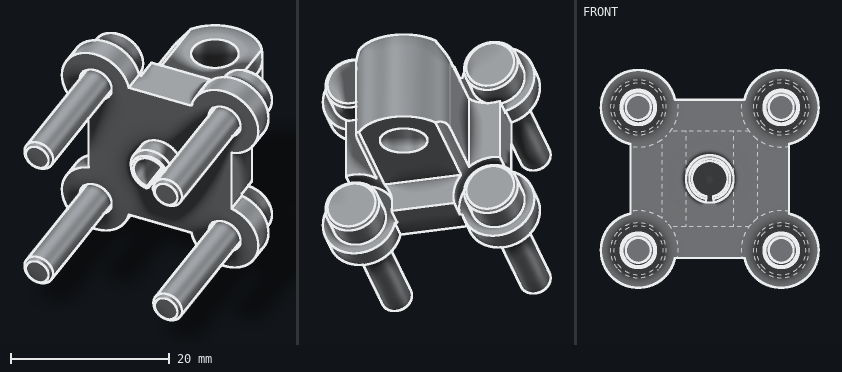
import cadquery as cq
import math


block_side = 20.0
block_height = 6.0
flange_thickness = 3.0
ear_diameter = 9.48
screw_pitch = 18.0
screw_clearance_diameter = 4.5
head_pocket_radius = 5.05
lug_width = 12.0
eye_center_y = 16.0
eye_diameter = 6.0

shank_diameter = 4.0
shank_reach = 17.0
tip_chamfer = 0.43
head_diameter = 7.0
head_height = 4.0
head_chamfer = 0.4

pin_diameter = 6.0
pin_bore_diameter = 4.5
pin_protrusion = 3.0
pin_depth = block_height
pin_chamfer_length = 0.7
pin_chamfer_width = 0.43
pin_slit_angle = 20.0

lug_radius = lug_width / 2
lug_top_y = eye_center_y + lug_radius
screw_offset = screw_pitch / 2
screw_places = [(x, z) for x in (-screw_offset, screw_offset) for z in (-screw_offset, screw_offset)]


def cylinder_y(diameter, y_start, y_end, x=0.0, z=0.0):
    """Cylinder along Y between two Y positions."""
    start = cq.Vector(x, y_start, z)
    solid = cq.Solid.makeCylinder(diameter / 2, y_end - y_start, start, cq.Vector(0, 1, 0))
    return cq.Workplane(obj=solid)


def make_lug():
    """Square bar with a rounded end and a cross hole along Z."""
    return (
        cq.Workplane("XY")
        .moveTo(-lug_radius, 0)
        .lineTo(lug_radius, 0)
        .lineTo(lug_radius, eye_center_y)
        .threePointArc((0, lug_top_y), (-lug_radius, eye_center_y))
        .close()
        .extrude(lug_width / 2, both=True)
        .cut(cq.Workplane("XY").center(0, eye_center_y).circle(eye_diameter / 2).extrude(lug_width, both=True))
    )


def make_housing():
    """Block and lug with round screw ears, head pockets and a blind hole for the pin."""
    block = cq.Workplane("XY").box(block_side, block_height, block_side).translate((0, block_height / 2, 0))
    housing = block.union(make_lug())

    for x, z in screw_places:
        housing = housing.cut(cylinder_y(2 * head_pocket_radius, flange_thickness, lug_top_y, x, z))

    for x, z in screw_places:
        housing = housing.union(cylinder_y(ear_diameter, 0, flange_thickness, x, z))
    for x, z in screw_places:
        housing = housing.cut(cylinder_y(screw_clearance_diameter, 0, flange_thickness, x, z))

    return housing.cut(cylinder_y(pin_diameter, 0, pin_depth))


def make_screw(x, z):
    """Cap screw seated on the flange."""
    shank = cylinder_y(shank_diameter, -shank_reach, flange_thickness, x, z).faces("<Y").chamfer(tip_chamfer)
    head_top_y = flange_thickness + head_height
    head = cylinder_y(head_diameter, flange_thickness, head_top_y, x, z).faces(">Y").chamfer(head_chamfer)
    return shank.union(head)


def make_spring_pin():
    """Slit tube with a chamfered outer end."""
    outer_radius = pin_diameter / 2
    bore_radius = pin_bore_diameter / 2
    wall_profile = (
        cq.Workplane("XY")
        .moveTo(bore_radius, -pin_protrusion)
        .lineTo(outer_radius - pin_chamfer_width, -pin_protrusion)
        .lineTo(outer_radius, -pin_protrusion + pin_chamfer_length)
        .lineTo(outer_radius, pin_depth)
        .lineTo(bore_radius, pin_depth)
        .close()
    )
    tube = wall_profile.revolve(360, (0, 0, 0), (0, 1, 0))

    wedge_depth = pin_diameter
    wedge_half_width = wedge_depth * math.tan(math.radians(pin_slit_angle / 2))
    wedge = (
        cq.Workplane("XZ", origin=(0, pin_depth, 0))
        .polyline([(0, 0), (-wedge_half_width, -wedge_depth), (wedge_half_width, -wedge_depth)])
        .close()
        .extrude(pin_depth + pin_protrusion)
    )
    return tube.cut(wedge)


housing = make_housing()
spring_pin = make_spring_pin()
screws = [make_screw(x, z) for x, z in screw_places]

result = cq.Compound.makeCompound(
    [
        *housing.solids().vals(),
        *spring_pin.solids().vals(),
        *[screw.solids().val() for screw in screws],
    ]
)